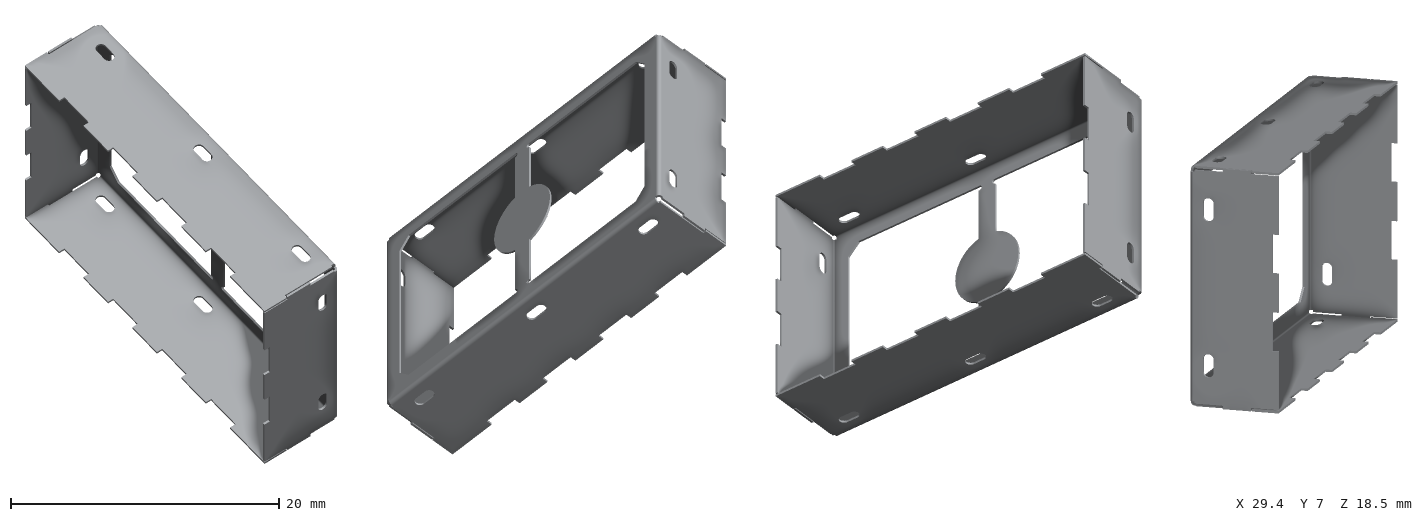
import cadquery as cq

width = 29.35
depth = 7.0
height = 18.5
sheet = 0.18
bend_outer_radius = 0.3
bend_inner_radius = bend_outer_radius - sheet

corner_relief = 0.4
seam_gap = 0.1
seam = sheet + seam_gap
tab_length = 2.17
ear_length = 2.08

tooth_width = 3.0
tooth_pitch = 2 * tooth_width
tooth_depth = 0.5

slot_length = 1.8
slot_width = 0.82
slot_from_back = 1.5
slot_y = depth - slot_from_back
slot_pitch = 12.0

rim_width = 1.53
window_chamfer = 0.97
bar_width = 1.53
disc_radius = 3.0
neck_width = 1.0
neck_slot_width = 0.4

window_width = width - 2 * rim_width
window_height = height - 2 * rim_width
SIGNS = (-1, 1)


def block(x_range, y_range, z_range):
    """Box spanning the given (low, high) ranges."""
    (x0, x1), (y0, y1), (z0, z1) = x_range, y_range, z_range
    return cq.Workplane("XY").box(x1 - x0, y1 - y0, z1 - z0, centered=False).translate((x0, y0, z0))


def row(count, pitch):
    """Evenly spaced positions centred on zero."""
    return [(i - (count - 1) / 2) * pitch for i in range(count)]


def folded_tray():
    """Open tray with rounded bends around the back plate."""
    outer = cq.Workplane("XY").box(width, depth, height, centered=(True, False, True))
    outer = outer.faces(">Y").edges().fillet(bend_outer_radius)
    cavity = cq.Workplane("XY").box(
        width - 2 * sheet, depth - sheet, height - 2 * sheet, centered=(True, False, True)
    )
    cavity = cavity.faces(">Y").edges().fillet(bend_inner_radius)
    return outer.cut(cavity)


def corner_cuts():
    """Relief, open stretch, side-wall tab seam and end ear seam of the low-X, low-Z corner."""
    x0 = -width / 2
    z0 = -height / 2
    tab_start = ear_length + seam_gap
    tab_end = tab_start + tab_length
    full_x = (x0, x0 + seam)
    full_z = (z0, z0 + seam)
    relief = block(
        (x0, x0 + corner_relief), (depth - corner_relief, depth), (z0, z0 + corner_relief)
    )
    open_stretch = block(full_x, (tab_end, depth), full_z)
    beside_tab = block((x0 + sheet, x0 + seam), (tab_start, tab_end), full_z)
    tab_to_ear = block(full_x, (ear_length, tab_start), full_z)
    under_ear = block(full_x, (0, ear_length), (z0 + sheet, z0 + seam))
    return relief.union(open_stretch).union(beside_tab).union(tab_to_ear).union(under_ear)


def all_corner_cuts():
    """The corner cuts mirrored to all four corners."""
    cuts = corner_cuts()
    cuts = cuts.union(cuts.mirror("YZ"))
    return cuts.union(cuts.mirror("XY"))


def rim_notches():
    """Gaps between the teeth: four across each wide wall and two across each end wall."""
    wide = (
        cq.Workplane("XY")
        .pushPoints([(x, tooth_depth / 2) for x in row(4, tooth_pitch)])
        .rect(tooth_width, tooth_depth)
        .extrude(height / 2, both=True)
    )
    ends = (
        cq.Workplane("YZ")
        .pushPoints([(tooth_depth / 2, z) for z in row(2, tooth_pitch)])
        .rect(tooth_depth, tooth_width)
        .extrude(width / 2, both=True)
    )
    return wide.union(ends)


def wall_slots():
    """Obround slots: three through each wide wall and two through each end wall."""
    wide = (
        cq.Workplane("XY")
        .pushPoints([(x, slot_y) for x in row(3, slot_pitch)])
        .slot2D(slot_length, slot_width)
        .extrude(height / 2, both=True)
    )
    ends = (
        cq.Workplane("YZ")
        .pushPoints([(slot_y, z) for z in row(2, slot_pitch)])
        .slot2D(slot_length, slot_width, 90)
        .extrude(width / 2, both=True)
    )
    return wide.union(ends)


def window():
    """Chamfered back opening, leaving a central bar with a disc and a narrow neck at each end."""
    cut_depth = 2 * sheet

    def plate_sketch():
        return cq.Workplane("XZ", origin=(0, depth + sheet / 2, 0))

    opening = plate_sketch().rect(window_width, window_height).extrude(cut_depth)
    opening = opening.edges("|Y").chamfer(window_chamfer)
    bar = plate_sketch().rect(bar_width, window_height).extrude(cut_depth)
    disc = plate_sketch().circle(disc_radius).extrude(cut_depth)
    neck_z = window_height / 2 - neck_slot_width / 2
    neck_slots = (
        plate_sketch()
        .pushPoints([(sx * (neck_width + bar_width) / 2, sz * neck_z) for sx in SIGNS for sz in SIGNS])
        .slot2D(bar_width, neck_slot_width)
        .extrude(cut_depth)
    )
    return opening.cut(bar).cut(disc).union(neck_slots)


result = folded_tray().cut(all_corner_cuts()).cut(rim_notches()).cut(wall_slots()).cut(window())